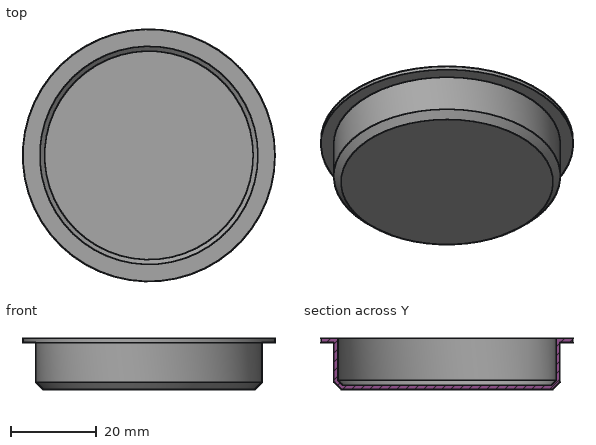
import cadquery as cq

flange_diameter = 59.0
body_diameter = 53.0
cavity_diameter = 51.0
total_height = 12.0
flange_thickness = 1.0
outer_chamfer = 1.7
inner_chamfer = 1.1

wall_thickness = (body_diameter - cavity_diameter) / 2
cavity_depth = total_height - wall_thickness

body = (
    cq.Workplane("XY")
    .circle(body_diameter / 2)
    .extrude(total_height)
    .faces("<Z")
    .chamfer(outer_chamfer)
)

flange = (
    cq.Workplane("XY")
    .workplane(offset=total_height - flange_thickness)
    .circle(flange_diameter / 2)
    .extrude(flange_thickness)
)

cavity = (
    cq.Workplane("XY")
    .workplane(offset=wall_thickness)
    .circle(cavity_diameter / 2)
    .extrude(cavity_depth)
    .faces("<Z")
    .chamfer(inner_chamfer)
)

result = body.union(flange).cut(cavity)